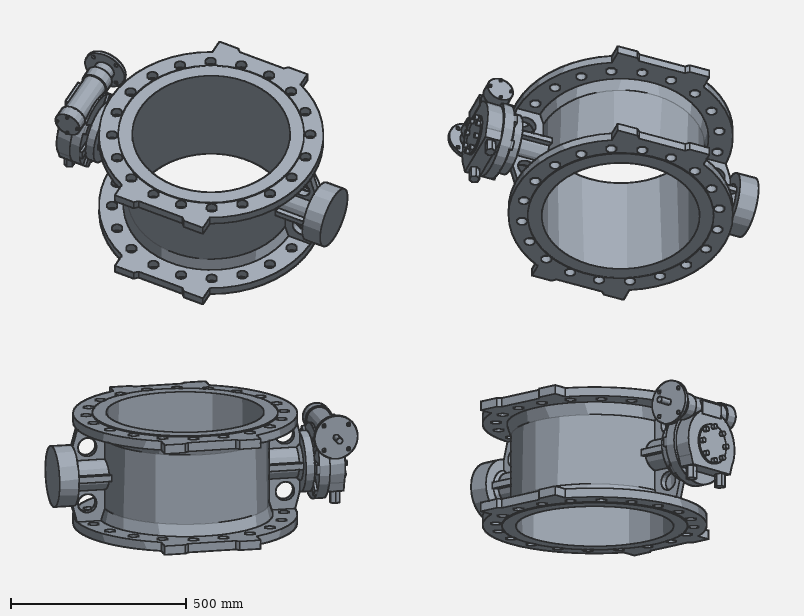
import cadquery as cq
import math

FACE_TO_FACE = 330.0
BORE_DIA = 450.0
SHELL_DIA = 479.0
FLANGE_DIA = 640.0
FLANGE_THICKNESS = 26.0
RAISED_FACE_DIA = 530.0
RAISED_FACE_HEIGHT = 3.0
NECK_DIA = 501.0
NECK_LENGTH = 34.0
BOLT_CIRCLE_DIA = 565.0
BOLT_HOLE_DIA = 30.0
BOLT_HOLE_COUNT = 20

FOOT_WIDTH = 281.0
FOOT_REACH = 332.0
FOOT_RECESS_WIDTH = 140.0
FOOT_RECESS_DEPTH = 10.0

SHAFT_Y = 3.0
BEARING_DIA = 92.0
BEARING_COLLAR_DIA = 110.0
BEARING_FLARE_LENGTH = 10.0
BEARING_END_X = 333.0
RIB_WIDTH = 120.0
RIB_THICKNESS = 18.0
LUG_THICKNESS = 20.0
LUG_STRAIGHT_HALF_HEIGHT = 88.0
LUG_HOLE_DIA = 54.0
LUG_HOLE_X = 290.0
LUG_HOLE_Z = 83.0
MOUNT_DIA = 175.0
MOUNT_THICKNESS = 25.5
END_COVER_LENGTH = 57.0

SPACER_THICKNESS = 8.5
SPACER_HUB_DIA = 100.0
SPACER_ARM_WIDTH = 27.0
SPACER_ARM_ANGLES = (0, 45, 135, 180, 225, 315)
GEAR_RING_DIA = 218.0
GEAR_RING_THICKNESS = 31.0
GEAR_CASE_DIA = 200.0
GEAR_CASE_THICKNESS = 47.0
GEAR_CASE_FLAT_Z = -74.0
GEAR_CASE_FLAT_WIDTH = 160.0
GEAR_CASE_CORNER_Z = -46.0
GEAR_COVER_DIA = 115.0
GEAR_COVER_THICKNESS = 5.0
COVER_BOLT_DIA = 13.5
COVER_BOLT_HEIGHT = 11.0
COVER_BOLT_CIRCLE_DIA = 100.0
COVER_BOLT_COUNT = 8
STOP_BOLT_CORNERS = 30.0
STOP_BOLT_X = -423.0
STOP_BOLT_OFFSET = 62.0
STOP_BOLT_END_Z = -110.0

WORM_X = -408.0
WORM_Z = 102.0
WORM_CASE_DIA = 70.0
WORM_CAP_DIA = 78.0
WORM_REAR_Y = -100.0
WORM_REAR_CAP_LENGTH = 34.0
WORM_FRONT_CAP_LENGTH = 34.0
WORM_FRONT_Y = 105.0
WORM_NECK_DIA = 60.0
WORM_NECK_END_Y = 136.0
ACTUATOR_FLANGE_DIA = 126.0
ACTUATOR_FLANGE_THICKNESS = 10.0
ACTUATOR_BOLT_CIRCLE_DIA = 102.0
ACTUATOR_HOLE_DIA = 10.5
ACTUATOR_HOLE_COUNT = 4
ACTUATOR_HOLE_START_ANGLE = 45.0
INPUT_SHAFT_DIA = 17.0
INPUT_SHAFT_LENGTH = 40.0
CAP_SCREW_DIA = 7.0
CAP_SCREW_HEIGHT = 5.0
CAP_SCREW_CIRCLE_DIA = 64.0
CAP_SCREW_COUNT = 4
PLATE_WIDTH = 81.0
PLATE_BOTTOM_Z = 82.0
PLATE_TOP_Z = 121.0
PLATE_PROUD = 1.5

HALF_LENGTH = FACE_TO_FACE / 2
FLANGE_TOP_Z = HALF_LENGTH - RAISED_FACE_HEIGHT
FLANGE_INNER_Z = FLANGE_TOP_Z - FLANGE_THICKNESS
BORE_RADIUS = BORE_DIA / 2
SHELL_RADIUS = SHELL_DIA / 2
MIDWALL_RADIUS = (BORE_RADIUS + SHELL_RADIUS) / 2
MOUNT_OUTER_X = -BEARING_END_X - MOUNT_THICKNESS
SPACER_OUTER_X = MOUNT_OUTER_X - SPACER_THICKNESS
RING_OUTER_X = SPACER_OUTER_X - GEAR_RING_THICKNESS
CASE_OUTER_X = RING_OUTER_X - GEAR_CASE_THICKNESS
COVER_OUTER_X = CASE_OUTER_X - GEAR_COVER_THICKNESS


def x_cylinder(diameter, start_x, end_x):
    """Cylinder on the valve shaft axis between two X positions."""
    plane = cq.Workplane("YZ", origin=(start_x, SHAFT_Y, 0))
    return plane.circle(diameter / 2).extrude(end_x - start_x)


def y_cylinder(diameter, start_y, end_y):
    """Cylinder on the worm axis between two Y positions."""
    plane = cq.Workplane("XZ", origin=(WORM_X, start_y, WORM_Z))
    return plane.circle(diameter / 2).extrude(start_y - end_y)


def block(x_range, y_range, z_range):
    """Box given by its limits on each axis."""
    size = [high - low for low, high in (x_range, y_range, z_range)]
    corner = (x_range[0], y_range[0], z_range[0])
    return cq.Workplane("XY", origin=corner).box(*size, centered=False)


def make_shell():
    """Turned body: tube, cones below the flanges, flanges and raised faces."""
    raised_radius = RAISED_FACE_DIA / 2
    flange_radius = FLANGE_DIA / 2
    neck_radius = NECK_DIA / 2
    cone_z = FLANGE_INNER_Z - NECK_LENGTH
    upper_half = [
        (SHELL_RADIUS, cone_z),
        (neck_radius, FLANGE_INNER_Z),
        (flange_radius, FLANGE_INNER_Z),
        (flange_radius, FLANGE_TOP_Z),
        (raised_radius, FLANGE_TOP_Z),
        (raised_radius, HALF_LENGTH),
        (BORE_RADIUS, HALF_LENGTH),
    ]
    lower_half = [(radius, -z) for radius, z in reversed(upper_half)]
    profile = cq.Workplane("XZ").polyline(upper_half + lower_half).close()
    return profile.revolve(360, (0, 0, 0), (0, 1, 0))


def make_foot(side, base_z):
    """Recessed foot on one flange, on the +Y (side=1) or -Y (side=-1) rim."""
    half_width = FOOT_WIDTH / 2
    half_recess = FOOT_RECESS_WIDTH / 2
    shoulder = half_recess + FOOT_RECESS_DEPTH
    recess_y = FOOT_REACH - FOOT_RECESS_DEPTH
    root_y = RAISED_FACE_DIA / 2
    outline = [
        (-half_width, root_y),
        (-half_width, FOOT_REACH),
        (-shoulder, FOOT_REACH),
        (-half_recess, recess_y),
        (half_recess, recess_y),
        (shoulder, FOOT_REACH),
        (half_width, FOOT_REACH),
        (half_width, root_y),
    ]
    points = [(x, side * y) for x, y in outline]
    plane = cq.Workplane("XY", origin=(0, 0, base_z))
    foot = plane.polyline(points).close().extrude(FLANGE_THICKNESS)
    flange_core = plane.circle(root_y).extrude(FLANGE_THICKNESS)
    return foot.cut(flange_core)


def cut_flange_holes(body):
    """Bolt holes through both flanges, straddling the X and Y axes."""
    pitch = 360 / BOLT_HOLE_COUNT
    for base_z in (-FLANGE_TOP_Z, FLANGE_INNER_Z):
        holes = (
            cq.Workplane("XY", origin=(0, 0, base_z))
            .polarArray(BOLT_CIRCLE_DIA / 2, pitch / 2, 360, BOLT_HOLE_COUNT)
            .circle(BOLT_HOLE_DIA / 2)
            .extrude(FLANGE_THICKNESS)
        )
        body = body.cut(holes)
    return body


def make_lug(side):
    """Upright lifting plate between the flanges, with two holes."""
    outer_x = FLANGE_DIA / 2
    outline = [
        (0, -FLANGE_INNER_Z),
        (outer_x, -FLANGE_INNER_Z),
        (BEARING_END_X, -LUG_STRAIGHT_HALF_HEIGHT),
        (BEARING_END_X, LUG_STRAIGHT_HALF_HEIGHT),
        (outer_x, FLANGE_INNER_Z),
        (0, FLANGE_INNER_Z),
    ]
    plane = cq.Workplane("XZ", origin=(0, SHAFT_Y, 0))
    lug = plane.polyline([(side * x, z) for x, z in outline]).close()
    lug = lug.extrude(LUG_THICKNESS / 2, both=True)
    centres = [(side * LUG_HOLE_X, z) for z in (-LUG_HOLE_Z, LUG_HOLE_Z)]
    holes = plane.pushPoints(centres).circle(LUG_HOLE_DIA / 2)
    return lug.cut(holes.extrude(LUG_THICKNESS, both=True))


def make_bearing(side):
    """Shaft housing with flared end, horizontal rib and lifting plate, outside the bore."""
    end_x = side * BEARING_END_X
    bearing = x_cylinder(BEARING_DIA, 0, end_x)
    collar = (
        cq.Workplane("YZ", origin=(end_x, SHAFT_Y, 0))
        .circle(BEARING_COLLAR_DIA / 2)
        .workplane(offset=-side * BEARING_FLARE_LENGTH)
        .circle(BEARING_DIA / 2)
        .loft(ruled=True)
    )
    half_rib = RIB_WIDTH / 2
    half_thickness = RIB_THICKNESS / 2
    rib = block(
        sorted((0, end_x)),
        (SHAFT_Y - half_rib, SHAFT_Y + half_rib),
        (-half_thickness, half_thickness),
    )
    bearing = bearing.union(collar).union(rib).union(make_lug(side))
    inside = cq.Workplane("XY").circle(MIDWALL_RADIUS).extrude(HALF_LENGTH, both=True)
    return bearing.cut(inside)


def make_body():
    """Complete valve body with the mount disc on -X and the end cover on +X."""
    body = make_shell()
    for base_z in (-FLANGE_TOP_Z, FLANGE_INNER_Z):
        for side in (-1, 1):
            body = body.union(make_foot(side, base_z))
    body = cut_flange_holes(body)
    for side in (-1, 1):
        body = body.union(make_bearing(side))
    body = body.union(x_cylinder(MOUNT_DIA, -BEARING_END_X, MOUNT_OUTER_X))
    cover_end_x = BEARING_END_X + END_COVER_LENGTH
    return body.union(x_cylinder(MOUNT_DIA, BEARING_END_X, cover_end_x))


def make_spacer():
    """Hub with radial arms between the mount disc and the gear ring."""
    x_range = (SPACER_OUTER_X, MOUNT_OUTER_X)
    half_arm = SPACER_ARM_WIDTH / 2
    arm = block(
        x_range,
        (SHAFT_Y, SHAFT_Y + GEAR_RING_DIA),
        (-half_arm, half_arm),
    )
    arm = arm.intersect(x_cylinder(GEAR_RING_DIA, *x_range))
    axis_start = (0, SHAFT_Y, 0)
    axis_end = (1, SHAFT_Y, 0)
    spacer = x_cylinder(SPACER_HUB_DIA, *x_range)
    for angle in SPACER_ARM_ANGLES:
        spacer = spacer.union(arm.rotate(axis_start, axis_end, angle))
    return spacer


def make_gear_case():
    """Round case with a flat bottom and straight lower flanks."""
    radius = GEAR_CASE_DIA / 2
    corner_y = math.sqrt(radius**2 - GEAR_CASE_CORNER_Z**2)
    half_flat = GEAR_CASE_FLAT_WIDTH / 2
    outline = (
        cq.Workplane("YZ", origin=(CASE_OUTER_X, SHAFT_Y, 0))
        .moveTo(-corner_y, GEAR_CASE_CORNER_Z)
        .threePointArc((0, radius), (corner_y, GEAR_CASE_CORNER_Z))
        .lineTo(half_flat, GEAR_CASE_FLAT_Z)
        .lineTo(-half_flat, GEAR_CASE_FLAT_Z)
        .close()
    )
    return outline.extrude(GEAR_CASE_THICKNESS)


def make_gear_cover():
    """Round front cover with its ring of bolt heads."""
    cover = x_cylinder(GEAR_COVER_DIA, CASE_OUTER_X, COVER_OUTER_X)
    bolts = (
        cq.Workplane("YZ", origin=(COVER_OUTER_X, SHAFT_Y, 0))
        .polarArray(COVER_BOLT_CIRCLE_DIA / 2, 0, 360, COVER_BOLT_COUNT)
        .circle(COVER_BOLT_DIA / 2)
        .extrude(-COVER_BOLT_HEIGHT)
    )
    return cover.union(bolts)


def make_stop_bolts():
    """Two hexagonal travel stops below the gear case, set apart and pointed along Y."""
    centres = [(-STOP_BOLT_OFFSET, 0), (STOP_BOLT_OFFSET, 0)]
    return (
        cq.Workplane("XY", origin=(STOP_BOLT_X, SHAFT_Y, STOP_BOLT_END_Z))
        .transformed(rotate=(0, 0, 90))
        .pushPoints(centres)
        .polygon(6, STOP_BOLT_CORNERS)
        .extrude(GEAR_CASE_FLAT_Z - STOP_BOLT_END_Z)
    )


def make_gearbox():
    """Spacer, gear ring, case, cover and travel stops."""
    gearbox = make_spacer()
    gearbox = gearbox.union(x_cylinder(GEAR_RING_DIA, SPACER_OUTER_X, RING_OUTER_X))
    gearbox = gearbox.union(make_gear_case())
    gearbox = gearbox.union(make_gear_cover())
    return gearbox.union(make_stop_bolts())


def make_actuator_flange():
    """Drilled disc at the driven end of the worm housing."""
    end_y = WORM_NECK_END_Y + ACTUATOR_FLANGE_THICKNESS
    flange = y_cylinder(ACTUATOR_FLANGE_DIA, WORM_NECK_END_Y, end_y)
    holes = (
        cq.Workplane("XZ", origin=(WORM_X, WORM_NECK_END_Y, WORM_Z))
        .polarArray(ACTUATOR_BOLT_CIRCLE_DIA / 2, ACTUATOR_HOLE_START_ANGLE, 360, ACTUATOR_HOLE_COUNT)
        .circle(ACTUATOR_HOLE_DIA / 2)
        .extrude(-ACTUATOR_FLANGE_THICKNESS)
    )
    shaft = y_cylinder(INPUT_SHAFT_DIA, end_y, end_y + INPUT_SHAFT_LENGTH)
    return flange.cut(holes).union(shaft)


def make_worm_housing():
    """Worm tube with end caps, neck, actuator flange and name plate block."""
    housing = y_cylinder(WORM_CASE_DIA, WORM_REAR_Y, WORM_FRONT_Y)
    rear_cap = y_cylinder(WORM_CAP_DIA, WORM_REAR_Y, WORM_REAR_Y + WORM_REAR_CAP_LENGTH)
    front_cap = y_cylinder(WORM_CAP_DIA, WORM_FRONT_Y - WORM_FRONT_CAP_LENGTH, WORM_FRONT_Y)
    neck = y_cylinder(WORM_NECK_DIA, WORM_FRONT_Y, WORM_NECK_END_Y)
    screws = (
        cq.Workplane("XZ", origin=(WORM_X, WORM_REAR_Y, WORM_Z))
        .polarArray(CAP_SCREW_CIRCLE_DIA / 2, 0, 360, CAP_SCREW_COUNT)
        .circle(CAP_SCREW_DIA / 2)
        .extrude(CAP_SCREW_HEIGHT)
    )
    half_plate = PLATE_WIDTH / 2
    plate = block(
        (CASE_OUTER_X - PLATE_PROUD, WORM_X),
        (SHAFT_Y - half_plate, SHAFT_Y + half_plate),
        (PLATE_BOTTOM_Z, PLATE_TOP_Z),
    )
    for piece in (rear_cap, front_cap, neck, screws, plate, make_actuator_flange()):
        housing = housing.union(piece)
    return housing


result = make_body().union(make_gearbox()).union(make_worm_housing())